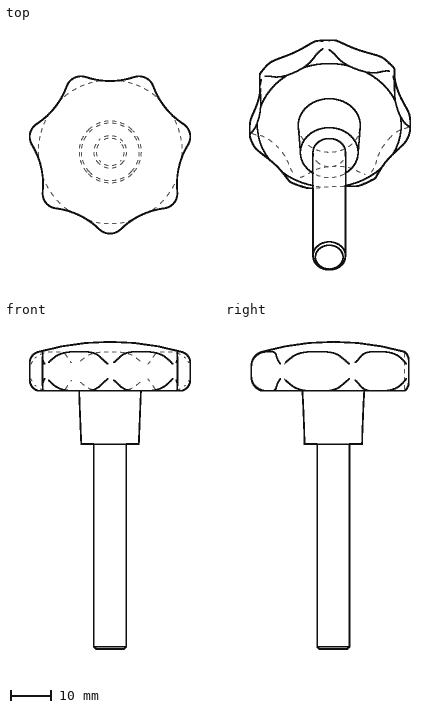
import cadquery as cq
import math

total_height = 75.0
dome_height = 2.5
head_thickness = 9.5
hub_height = 13.0
rim_z = total_height - dome_height
head_bottom_z = rim_z - head_thickness
hub_bottom_z = head_bottom_z - hub_height

lobe_count = 7
tip_radius = 20.0
valley_radius = 17.25
lobe_round = 3.75
rim_radius = 17.55
rim_round_depth = 3.45

hub_top_radius = 7.6
hub_bottom_radius = 7.05
shaft_radius = 4.0
shaft_chamfer = 0.6


def polar(radius, angle):
    return (radius * math.cos(angle), radius * math.sin(angle))


def star_prism():
    """Lobes and valleys as tangent arcs, with one lobe pointing along -Y."""
    pitch = 2 * math.pi / lobe_count
    half_pitch = pitch / 2
    lobe_center = tip_radius - lobe_round
    radius_gap = valley_radius - lobe_round
    valley_center = (lobe_center**2 - radius_gap**2) / (
        2 * (lobe_center * math.cos(half_pitch) - radius_gap)
    )
    direction = math.atan2(
        valley_center * math.sin(half_pitch),
        valley_center * math.cos(half_pitch) - lobe_center,
    )
    joint_along = lobe_center + lobe_round * math.cos(direction)
    joint_across = lobe_round * math.sin(direction)
    joint_radius = math.hypot(joint_along, joint_across)
    joint_angle = math.atan2(joint_across, joint_along)

    first_lobe = -math.pi / 2
    outline = cq.Workplane("XY").workplane(offset=head_bottom_z)
    outline = outline.moveTo(*polar(joint_radius, first_lobe - joint_angle))
    for index in range(lobe_count):
        angle = first_lobe + index * pitch
        outline = outline.threePointArc(
            polar(tip_radius, angle),
            polar(joint_radius, angle + joint_angle),
        )
        outline = outline.threePointArc(
            polar(valley_radius, angle + half_pitch),
            polar(joint_radius, angle + pitch - joint_angle),
        )
    return outline.close().extrude(total_height - head_bottom_z)


def head_envelope():
    """Turned body with a domed top and rounded rims that end vertically."""
    rim_width = tip_radius - rim_radius
    rim_round = (rim_width**2 + rim_round_depth**2) / (2 * rim_width)
    half_sweep = math.asin(rim_round_depth / rim_round) / 2
    middle_r = tip_radius - rim_round * (1 - math.cos(half_sweep))
    middle_rise = rim_round * math.sin(half_sweep)
    lower_tangent_z = head_bottom_z + rim_round_depth
    upper_tangent_z = rim_z - rim_round_depth

    dome_round = (rim_radius**2 + dome_height**2) / (2 * dome_height)
    dome_middle_r = rim_radius / 2
    dome_middle_z = total_height - dome_round + math.sqrt(dome_round**2 - dome_middle_r**2)
    return (
        cq.Workplane("XZ")
        .moveTo(0, head_bottom_z)
        .lineTo(rim_radius, head_bottom_z)
        .threePointArc((middle_r, lower_tangent_z - middle_rise), (tip_radius, lower_tangent_z))
        .lineTo(tip_radius, upper_tangent_z)
        .threePointArc((middle_r, upper_tangent_z + middle_rise), (rim_radius, rim_z))
        .threePointArc((dome_middle_r, dome_middle_z), (0, total_height))
        .close()
        .revolve(360, (0, 0), (0, 1))
    )


def hub_and_shaft():
    return (
        cq.Workplane("XZ")
        .moveTo(0, 0)
        .lineTo(shaft_radius - shaft_chamfer, 0)
        .lineTo(shaft_radius, shaft_chamfer)
        .lineTo(shaft_radius, hub_bottom_z)
        .lineTo(hub_bottom_radius, hub_bottom_z)
        .lineTo(hub_top_radius, head_bottom_z)
        .lineTo(0, head_bottom_z)
        .close()
        .revolve(360, (0, 0), (0, 1))
    )


head = head_envelope().intersect(star_prism())
result = head.union(hub_and_shaft())